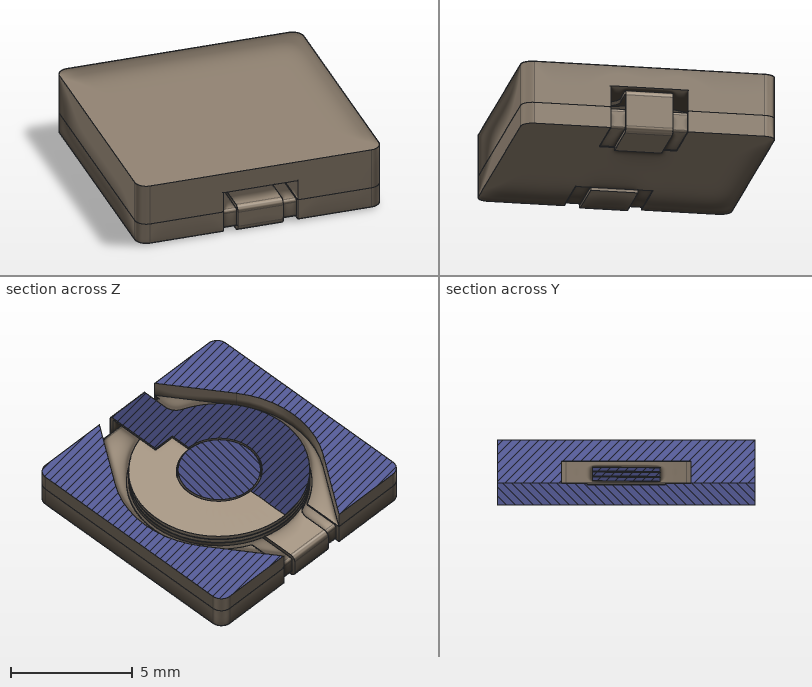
import cadquery as cq
import math

side = 10.6
total_height = 2.81
corner_radius = 0.5
standoff = 0.13
split_height = 1.03
half = side / 2

post_diameter = 3.4
cavity_radius = 4.35
ceiling_height = 1.93
window_width = 3.22

wire_width = 1.97
wire_thickness = 0.17
coil_inner_radius = 1.76
coil_outer_radius = coil_inner_radius + wire_width
coil_clearance = 0.08
turn_pitch = 0.2
full_turns = 3
lead_angle = 20.0
lead_fillet = 0.64
upper_lead_top = 1.82
pad_length = 2.61
bend_inner_radius = 0.07
bend_outer_radius = bend_inner_radius + wire_thickness
base_edge_radius = 0.13

helix_turns = full_turns + (180 - 2 * lead_angle) / 360
helix_rise = helix_turns * turn_pitch
upper_lead_bottom = upper_lead_top - wire_thickness
lower_lead_top = upper_lead_top - helix_rise
lower_lead_bottom = lower_lead_top - wire_thickness


def slab(bottom, top):
    """Square block of the case outline with rounded vertical corners."""
    block = cq.Workplane("XY").workplane(offset=bottom).rect(side, side).extrude(top - bottom)
    return block.edges("|Z").fillet(corner_radius)


def disc(radius, bottom, top):
    return cq.Workplane("XY").workplane(offset=bottom).circle(radius).extrude(top - bottom)


def bar(x_start, x_end, width, bottom, top):
    """Rectangular block centred on the X axis."""
    return cq.Workplane("XY").box(
        x_end - x_start, width, top - bottom, centered=(False, True, False)
    ).translate((x_start, 0, bottom))


def mirrored_x(shape):
    return shape.mirror("YZ")


def make_cover():
    """Lid with a round cavity whose tangent walls narrow to a window on the -X and +X sides."""
    half_window = window_width / 2
    tangent_angle = math.acos(cavity_radius / math.hypot(half, half_window))
    tangent_angle += math.atan2(half_window, half)
    tangent_x = cavity_radius * math.cos(tangent_angle)
    tangent_y = cavity_radius * math.sin(tangent_angle)
    quarter = [(half, half_window), (tangent_x, tangent_y)]
    upper_side = quarter + [(-x, y) for x, y in reversed(quarter)]
    lower_side = [(x, -y) for x, y in reversed(upper_side)]
    flare = (
        cq.Workplane("XY").workplane(offset=split_height)
        .polyline(upper_side + lower_side).close()
        .extrude(ceiling_height - split_height)
    )
    cavity = disc(cavity_radius, split_height, ceiling_height)
    return slab(split_height, total_height).cut(cavity).cut(flare)


def base_end_space(wall_top):
    """Material removed at the -X end of the base, leaving a set-back wall with rounded edges."""
    end = bar(-half, -half + pad_length, window_width, standoff, split_height)
    wall = bar(
        -half + wire_thickness, -half + pad_length, window_width,
        wire_thickness, wall_top,
    )
    wall = wall.edges("|Y and <X and >Z").fillet(base_edge_radius)
    wall = wall.edges("|Y and <X and <Z").fillet(bend_inner_radius)
    return end.cut(wall)


def make_base():
    """Base with a round post and a channel in which the lowest turn of the winding lies."""
    base = slab(standoff, split_height)
    base = base.cut(base_end_space(split_height))
    base = base.cut(mirrored_x(base_end_space(lower_lead_bottom)))
    base = base.cut(disc(coil_outer_radius + coil_clearance, lower_lead_bottom, split_height))
    return base.union(disc(post_diameter / 2, lower_lead_bottom, ceiling_height))


def make_terminal(lead_top):
    """Strip at the -X end: the lead runs out, down the wall and back under the base as a pad."""
    inner_end = -half + pad_length
    outside = bar(-half, inner_end, wire_width, 0, lead_top)
    outside = outside.edges("|Y and <X").fillet(bend_outer_radius)
    inside = bar(
        -half + wire_thickness, inner_end, wire_width,
        wire_thickness, lead_top - wire_thickness,
    )
    inside = inside.edges("|Y and <X").fillet(bend_inner_radius)
    return outside.cut(inside)


def make_lead_joint(bottom):
    """Flat end of the winding at the -X end, with a fillet where the lead leaves the turn."""
    half_width = wire_width / 2
    centre_y = half_width + lead_fillet
    centre_distance = coil_outer_radius + lead_fillet
    centre_x = -math.sqrt(centre_distance**2 - centre_y**2)
    turn_share = coil_outer_radius / centre_distance
    corner = (
        cq.Workplane("XY").workplane(offset=bottom)
        .polyline([
            (centre_x, half_width),
            (centre_x, centre_y),
            (centre_x * turn_share, centre_y * turn_share),
            (-coil_inner_radius - wire_width / 2, half_width),
        ]).close().extrude(wire_thickness)
    )
    corner = corner.cut(
        cq.Workplane("XY").workplane(offset=bottom)
        .center(centre_x, centre_y).circle(lead_fillet).extrude(wire_thickness)
    )
    reach = 2 * coil_outer_radius
    angle = math.radians(lead_angle)
    wedge = (
        cq.Workplane("XY").workplane(offset=bottom)
        .polyline([(0, 0), (-reach, 0), (-reach, reach * math.tan(angle))])
        .close().extrude(wire_thickness)
    )
    ring = disc(coil_outer_radius, bottom, bottom + wire_thickness)
    ring = ring.cut(disc(coil_inner_radius, bottom, bottom + wire_thickness))
    return ring.intersect(wedge).union(corner)


def make_helix():
    """Flat wire wound on edge around the post, bounded by ruled faces between four helices."""
    corners = [
        (coil_inner_radius, lower_lead_bottom),
        (coil_outer_radius, lower_lead_bottom),
        (coil_outer_radius, lower_lead_top),
        (coil_inner_radius, lower_lead_top),
    ]
    edges = [
        cq.Wire.makeHelix(turn_pitch, helix_rise, radius, cq.Vector(0, 0, bottom)).Edges()[0]
        for radius, bottom in corners
    ]
    next_edges = edges[1:] + edges[:1]
    sides = [cq.Face.makeRuledSurface(edge, after) for edge, after in zip(edges, next_edges)]
    ends = [
        cq.Face.makeFromWires(cq.Wire.makePolygon([edge.positionAt(end) for edge in edges], close=True))
        for end in (0, 1)
    ]
    solid = cq.Solid.makeSolid(cq.Shell.makeShell(sides + ends))
    return cq.Workplane(obj=solid).rotate((0, 0, 0), (0, 0, 1), lead_angle)


def make_coil():
    """Winding with both leads and terminals, all one piece of wire."""
    coil = make_helix()
    coil = coil.union(make_terminal(upper_lead_top).union(make_lead_joint(upper_lead_bottom)))
    lower_end = make_terminal(lower_lead_top).union(make_lead_joint(lower_lead_bottom))
    return coil.union(mirrored_x(lower_end))


cover = make_cover()
base = make_base()
coil = make_coil()

bodies = [cover, base, coil]
result = cq.Compound.makeCompound([body.solids().val() for body in bodies])